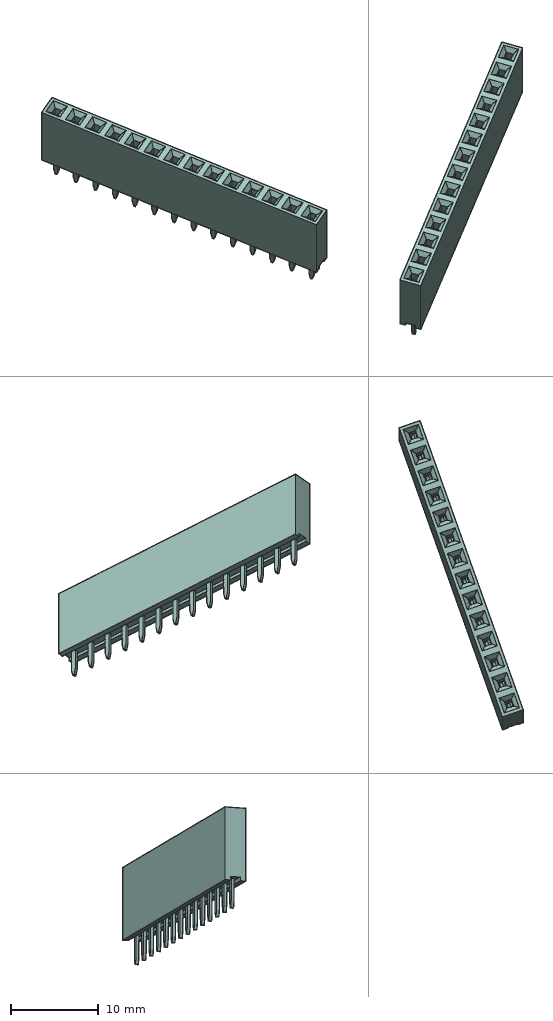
import cadquery as cq

pin_count = 14
length = 35.55
depth = 2.52
housing_height = 8.5
pitch = length / pin_count

channel_width = 1.17
channel_height = 0.43

funnel_mouth = 1.8
socket_width = 0.82
funnel_depth = (funnel_mouth - socket_width) / 2
socket_depth = 2.15

contact_thickness = 0.35
groove_width = 0.68
groove_depth = 0.15

pin_width = 0.6
pin_drop = 3.0
tip_length = 0.8
tip_width = 0.2

pin_places = [(i + 0.5) * pitch - length / 2 for i in range(pin_count)]


def make_housing():
    """Plain bar with its bottom at Z = 0 and a channel running its full length."""
    bar = cq.Workplane("XY").box(length, depth, housing_height, centered=(True, True, False))
    channel = cq.Workplane("XY").box(length, channel_width, channel_height, centered=(True, True, False))
    return bar.cut(channel)


def make_socket_cutter():
    """Funnel, square hole and rounded contact groove, with the mouth at Z = 0."""
    funnel = (
        cq.Workplane("XY")
        .rect(funnel_mouth, funnel_mouth)
        .workplane(offset=-funnel_depth)
        .rect(socket_width, socket_width)
        .loft(ruled=True)
    )
    hole = cq.Workplane("XY").rect(socket_width, socket_width).extrude(-socket_depth)
    groove = (
        cq.Workplane("XZ", origin=(0, 0, -socket_depth))
        .moveTo(-groove_width / 2, 0)
        .threePointArc((0, -groove_depth), (groove_width / 2, 0))
        .close()
        .extrude(contact_thickness / 2, both=True)
    )
    return funnel.union(hole).union(groove)


def make_pin():
    """Flat pin hanging from the channel roof, tapered in width at its tip."""
    return (
        cq.Workplane("XZ")
        .moveTo(-pin_width / 2, channel_height)
        .lineTo(-pin_width / 2, tip_length - pin_drop)
        .lineTo(-tip_width / 2, -pin_drop)
        .lineTo(tip_width / 2, -pin_drop)
        .lineTo(pin_width / 2, tip_length - pin_drop)
        .lineTo(pin_width / 2, channel_height)
        .close()
        .extrude(contact_thickness / 2, both=True)
    )


socket_cutter = make_socket_cutter()
pin = make_pin()

result = make_housing()
for x in pin_places:
    result = result.cut(socket_cutter.translate((x, 0, housing_height)))
    result = result.union(pin.translate((x, 0, 0)))